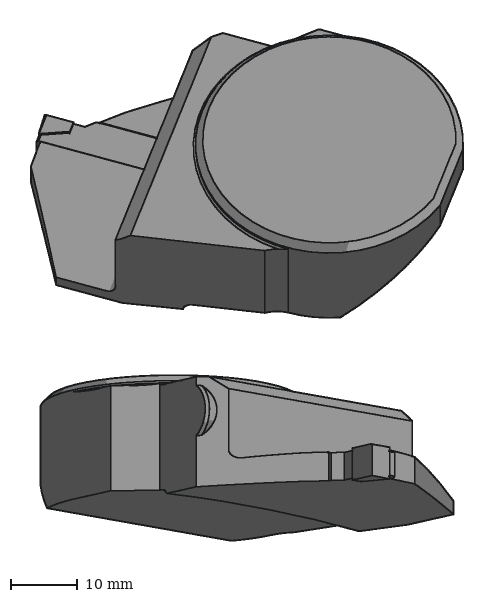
import cadquery as cq
import math

total_height = 19.3
block_top = 17.55
base_z = 1.55

flange_radius = 20.0
flange_chamfer = 1.1
flange_flat_x = 19.2
flange_fillet = 0.3
relief_start_x = 7.8

wall_x = -25.4
wall_chamfer_x = 2.3
wall_chamfer_z = 1.9
front_y = -25.05
back_y = 14.8
foot_end_x = -15.25
foot_step_length = 1.35
step_bow = 0.7
ear_x = -8.3
slope_start_x = -21.65
slope_break_x = -33.6
slope_break_y = 4.55
front_corner_x = -24.2
neck_x = -3.15
neck_y = -21.15
neck_mid_x = -1.65
neck_mid_y = -20.4
neck_end_x = 0.1

foot_arch_radius = 255.75
foot_crown_z = foot_arch_radius - math.sqrt(foot_arch_radius**2 - front_y**2)
blade_top_radius = 88.45
blade_top_z = 5.65
blade_root_fillet = 1.55
blade_end_x = -44.0
blade_corner_y = -9.05
blade_front_x = -34.7

rib_z = 5.45
rib_slot_depth = 1.5
rib_wall_recess = 0.05
rib_front_y = -4.5
rib_back_y = 0.2
rib_wide_y = 1.55
rib_neck_x = -26.35
rib_shoulder_x = -37.2
nose_x = -44.6
nose_chamfer = 0.3
tip_x = -44.9
tip_seat_x = -40.3
tip_seat_y = -1.6
tip_end_y = -3.45
tip_bottom = 0.95
tip_top = 5.85
tip_land_width = 0.3
tip_land_drop = 0.1

boss_radius = 5.0
boss_x = -19.05
boss_z = 12.45
boss_length = 12.8
boss_chamfer_radial = 0.3
boss_chamfer_axial = 0.6

clearance_half_width = 28.85
clearance_length = 25.65


def make_plan():
    """Block and blade plan, without the round end."""
    return (
        cq.Workplane("XY")
        .moveTo(0, flange_radius)
        .lineTo(ear_x, flange_radius)
        .lineTo(ear_x - (flange_radius - back_y), back_y)
        .lineTo(slope_start_x, back_y)
        .lineTo(slope_break_x, slope_break_y)
        .lineTo(slope_break_x - (slope_break_y - rib_wide_y), rib_wide_y)
        .lineTo(rib_shoulder_x, rib_wide_y)
        .lineTo(rib_shoulder_x - (rib_wide_y - rib_back_y), rib_back_y)
        .lineTo(tip_x, rib_back_y)
        .lineTo(nose_x, tip_end_y)
        .lineTo(nose_x, rib_front_y)
        .lineTo(blade_end_x, rib_front_y)
        .lineTo(blade_end_x, blade_corner_y)
        .lineTo(blade_front_x, front_y)
        .lineTo(front_corner_x, front_y)
        .lineTo(neck_x, neck_y)
        .threePointArc((neck_mid_x, neck_mid_y), (neck_end_x, -flange_radius))
        .close()
        .extrude(block_top)
    )


def make_flange():
    """Round end with a chamfered rim and a flat on +X."""
    disc = (
        cq.Workplane("XY").circle(flange_radius).extrude(total_height)
        .faces(">Z").chamfer(flange_chamfer)
    )
    flat_profile = (
        cq.Workplane("XZ", origin=(0, flange_radius, 0))
        .moveTo(-flange_radius, 0)
        .lineTo(flange_flat_x, 0)
        .lineTo(flange_flat_x, total_height - flange_chamfer)
        .lineTo(flange_flat_x - flange_chamfer, total_height)
        .lineTo(-flange_radius, total_height)
        .close()
        .extrude(2 * flange_radius)
    )
    return disc.intersect(flat_profile)


def make_rim_fillet():
    """Concave ring between the flange and the block top, kept within the block plan."""
    outer = flange_radius + flange_fillet
    middle = flange_fillet * (1 - math.sqrt(0.5))
    ring = (
        cq.Workplane("XZ")
        .moveTo(flange_radius, block_top)
        .lineTo(outer, block_top)
        .threePointArc(
            (flange_radius + middle, block_top + middle),
            (flange_radius, block_top + flange_fillet),
        )
        .close()
        .revolve(360, (0, 0), (0, 1))
    )
    return ring.intersect(make_plan().translate((0, 0, flange_fillet)))


def make_blade_clearance():
    """Space above the blade: curved floor, filleted root and chamfered wall top."""
    half_width = clearance_half_width
    edge_z = blade_top_z - blade_top_radius + math.sqrt(blade_top_radius**2 - half_width**2)
    space = (
        cq.Workplane("YZ", origin=(wall_x - clearance_length, 0, 0))
        .moveTo(-half_width, edge_z)
        .threePointArc((0, blade_top_z), (half_width, edge_z))
        .lineTo(half_width, total_height)
        .lineTo(-half_width, total_height)
        .close()
        .extrude(clearance_length)
    )
    space = space.faces(">X").edges("%CIRCLE").fillet(blade_root_fillet)
    bevel = (
        cq.Workplane("XZ", origin=(0, half_width, 0))
        .moveTo(wall_x, block_top - wall_chamfer_z)
        .lineTo(wall_x + wall_chamfer_x, block_top)
        .lineTo(wall_x, block_top)
        .close()
        .extrude(2 * half_width)
    )
    return space, bevel


def make_rib_clearance():
    """Space above the flat rib, up to the wall."""
    corner = rib_wide_y - rib_back_y
    return (
        cq.Workplane("XY", origin=(0, 0, rib_z))
        .moveTo(wall_x + rib_wall_recess, rib_front_y)
        .lineTo(wall_x + rib_wall_recess, rib_back_y)
        .lineTo(rib_neck_x, rib_back_y)
        .lineTo(rib_neck_x - corner, rib_wide_y)
        .lineTo(tip_x, rib_wide_y)
        .lineTo(tip_x, rib_front_y)
        .close()
        .extrude(rib_slot_depth)
    )


def make_underside_stock():
    """Part length profile: foot, step, raised base and 45 degree relief."""
    relief_end_z = base_z + flange_flat_x - relief_start_x
    profile = (
        cq.Workplane("XZ", origin=(0, 2 * flange_radius, 0))
        .moveTo(tip_x, 0)
        .lineTo(foot_end_x, 0)
        .threePointArc(
            (foot_end_x + (1 - step_bow) * foot_step_length, step_bow * base_z),
            (foot_end_x + foot_step_length, base_z),
        )
        .lineTo(relief_start_x, base_z)
        .lineTo(flange_flat_x, relief_end_z)
        .lineTo(flange_flat_x, total_height)
        .lineTo(tip_x, total_height)
        .close()
        .extrude(4 * flange_radius)
    )
    arch = (
        cq.Workplane("YZ", origin=(tip_x, 0, 0))
        .moveTo(front_y, 0)
        .threePointArc((0, foot_crown_z), (-front_y, 0))
        .close()
        .extrude(foot_end_x + foot_step_length - tip_x)
    )
    return profile.cut(arch)


def make_boss():
    """Round boss along Y with a chamfered end, flush with the back of the block."""
    return (
        cq.Workplane("XY", origin=(boss_x, 0, boss_z))
        .moveTo(0, back_y - boss_length)
        .lineTo(boss_radius, back_y - boss_length)
        .lineTo(boss_radius, back_y - boss_chamfer_axial)
        .lineTo(boss_radius - boss_chamfer_radial, back_y)
        .lineTo(0, back_y)
        .close()
        .revolve(360, (0, 0), (0, 1))
    )


def make_tip_prism(bottom, height):
    """Prism on the plan of the cutting tip."""
    return (
        cq.Workplane("XY", origin=(0, 0, bottom))
        .moveTo(tip_x, rib_back_y)
        .lineTo(tip_seat_x, rib_back_y)
        .lineTo(tip_seat_x, tip_seat_y)
        .lineTo(nose_x, tip_end_y)
        .close()
        .extrude(height)
    )


def make_holder():
    space, bevel = make_blade_clearance()
    holder = make_plan().union(make_flange()).union(make_rim_fillet())
    holder = holder.cut(space).cut(bevel).cut(make_rib_clearance())
    holder = holder.intersect(make_underside_stock()).union(make_boss())
    holder = holder.cut(make_tip_prism(0, total_height))
    return holder.faces("<X").edges("not |Z").chamfer(nose_chamfer)


def make_tip():
    """Cutting tip, a little proud of the rib, with a bevelled land on its front edge."""
    tip = make_tip_prism(tip_bottom, tip_top - tip_bottom)
    land = (
        cq.Workplane("XZ", origin=(0, rib_back_y, 0))
        .moveTo(tip_x, tip_top - tip_land_drop)
        .lineTo(tip_x + tip_land_width, tip_top)
        .lineTo(tip_x, tip_top)
        .close()
        .extrude(rib_back_y - tip_end_y)
    )
    return tip.cut(land)


holder = make_holder()
tip = make_tip()
result = cq.Compound.makeCompound([holder.val(), tip.val()])